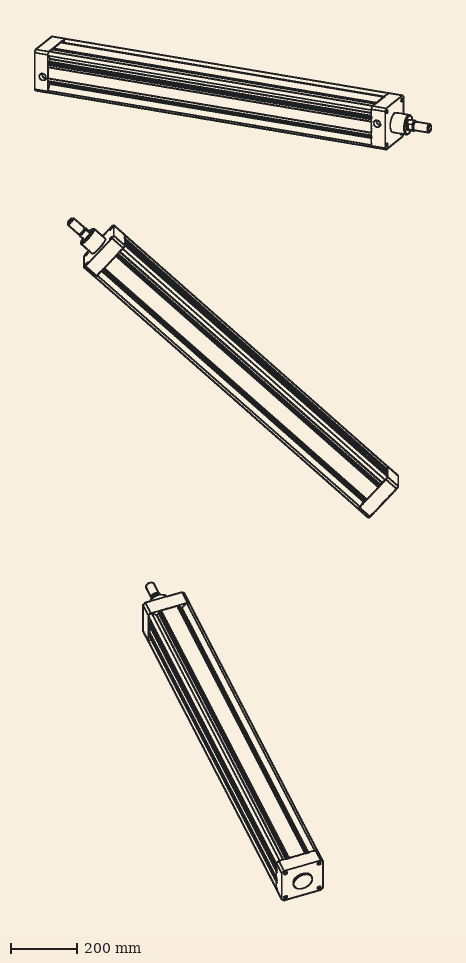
import cadquery as cq

TOTAL_LENGTH = 1285.0
REAR_BOSS_LENGTH = 5.0
REAR_CAP_END = 49.0
FRONT_CAP_START = 1120.0
BARREL_LENGTH = FRONT_CAP_START - REAR_CAP_END
FRONT_CAP_END = 1167.0
COLLAR_END = 1214.0

CAP_SIZE = 134.0
CAP_CHAMFER = 8.0
BOSS_DIAMETER = 60.0
COLLAR_CHAMFER = 3.0
SCREW_HOLE_OFFSET = 54.0
SCREW_HOLE_DIAMETER = 10.0
SCREW_HOLE_DEPTH = 19.0
PORT_DIAMETER = 22.0
PORT_DEPTH = 19.0
PORT_HEIGHT = 15.0
FRONT_PORT_OFFSET = 19.0
REAR_PORT_OFFSET = 17.0

BARREL_HALF = CAP_SIZE / 2
CORNER_RADIUS = 10.0
GROOVE_EDGE = BARREL_HALF - CORNER_RADIUS
GROOVE_FLOOR_EDGE = 41.0
GROOVE_FLOOR_WIDTH = 1.0
GROOVE_FLOOR_HEIGHT = BARREL_HALF - (GROOVE_EDGE - GROOVE_FLOOR_EDGE)
WALL_EDGE = 33.0
WALL_FOOT_HEIGHT = 55.0
LEDGE_EDGE = 30.0
LEDGE_HEIGHT = 64.0
FLAT_EDGE = 26.0
FLAT_HEIGHT = 65.0
BAND_WIDTH = 36.0
BAND_RECESS = 3.0

ROD_DIAMETER = 32.0
ROD_STEP = 1232.0
FLATS_START = 1218.0
WRENCH_WIDTH = 27.0
THREAD_DIAMETER = 27.0
THREAD_START = 1236.0
THREAD_NECK_DIAMETER = 26.0
THREAD_CHAMFER = 4.0


def x_plane(x):
    """Sketch plane at x, facing +X, with local x along +Y and local y along +Z."""
    return cq.Workplane("YZ", origin=(x, 0, 0))


def cylinder(start, end, diameter):
    return x_plane(start).circle(diameter / 2).extrude(end - start)


def cap_block(start, end):
    block = x_plane(start).rect(CAP_SIZE, CAP_SIZE).extrude(end - start)
    return block.edges("|X").chamfer(CAP_CHAMFER)


def port(x, z):
    """Blind air port drilled into the -Y side of a cap."""
    side = cq.Workplane("XZ", origin=(0, -CAP_SIZE / 2, 0))
    return side.center(x, z).circle(PORT_DIAMETER / 2).extrude(-PORT_DEPTH)


def screw_holes(face_x, depth):
    """Four blind corner holes; a negative depth drills toward -X."""
    spacing = 2 * SCREW_HOLE_OFFSET
    holes = x_plane(face_x).rect(spacing, spacing, forConstruction=True).vertices()
    return holes.circle(SCREW_HOLE_DIAMETER / 2).extrude(depth)


def make_rear_cap():
    cap = cap_block(REAR_BOSS_LENGTH, REAR_CAP_END)
    cap = cap.union(cylinder(0, REAR_CAP_END, BOSS_DIAMETER))
    cap = cap.cut(screw_holes(REAR_BOSS_LENGTH, SCREW_HOLE_DEPTH))
    return cap.cut(port(REAR_CAP_END - REAR_PORT_OFFSET, -PORT_HEIGHT))


def make_front_cap():
    collar = cylinder(FRONT_CAP_START, COLLAR_END, BOSS_DIAMETER)
    collar = collar.faces(">X").edges().chamfer(COLLAR_CHAMFER)
    cap = cap_block(FRONT_CAP_START, FRONT_CAP_END).union(collar)
    cap = cap.cut(cylinder(FRONT_CAP_START, COLLAR_END, ROD_DIAMETER))
    cap = cap.cut(screw_holes(FRONT_CAP_END, -SCREW_HOLE_DEPTH))
    return cap.cut(port(FRONT_CAP_START + FRONT_PORT_OFFSET, PORT_HEIGHT))


def side_relief(side_angle):
    """Material removed from one side: a mirrored pair of grooves and the sunken flat between them."""
    half_outline = [
        (BARREL_HALF, GROOVE_EDGE),
        (GROOVE_FLOOR_HEIGHT, GROOVE_FLOOR_EDGE),
        (GROOVE_FLOOR_HEIGHT, GROOVE_FLOOR_EDGE - GROOVE_FLOOR_WIDTH),
        (WALL_FOOT_HEIGHT, WALL_EDGE),
        (LEDGE_HEIGHT, WALL_EDGE),
        (LEDGE_HEIGHT, LEDGE_EDGE),
        (FLAT_HEIGHT, FLAT_EDGE),
        (FLAT_HEIGHT, 0),
        (BARREL_HALF, 0),
    ]
    half = x_plane(REAR_CAP_END).polyline(half_outline).close().extrude(BARREL_LENGTH)
    whole = half.union(half.mirror("XY"))
    return whole.rotate((0, 0, 0), (1, 0, 0), side_angle)


def band_recesses():
    """Shallow recesses along the middle of the flats on the -Y and +Y sides."""
    centers = x_plane(REAR_CAP_END).pushPoints([(-FLAT_HEIGHT, 0), (FLAT_HEIGHT, 0)])
    return centers.rect(2 * BAND_RECESS, BAND_WIDTH).extrude(BARREL_LENGTH)


def make_barrel():
    barrel = x_plane(REAR_CAP_END).rect(CAP_SIZE, CAP_SIZE).extrude(BARREL_LENGTH)
    barrel = barrel.edges("|X").fillet(CORNER_RADIUS)
    for side in range(4):
        barrel = barrel.cut(side_relief(90 * side))
    return barrel.cut(band_recesses())


def make_rod():
    shank = cylinder(FRONT_CAP_START, FLATS_START, ROD_DIAMETER)
    flats_end = cylinder(FLATS_START, ROD_STEP, ROD_DIAMETER)
    flats_slab = x_plane(FLATS_START).rect(WRENCH_WIDTH, ROD_DIAMETER).extrude(ROD_STEP - FLATS_START)
    neck = cylinder(ROD_STEP, THREAD_START, THREAD_NECK_DIAMETER)
    thread = cylinder(THREAD_START, TOTAL_LENGTH, THREAD_DIAMETER)
    thread = thread.faces(">X").edges().chamfer(THREAD_CHAMFER)
    return shank.union(flats_end.intersect(flats_slab)).union(neck).union(thread)


rear_cap = make_rear_cap()
front_cap = make_front_cap()
barrel = make_barrel()
rod = make_rod()

result = cq.Compound.makeCompound([rear_cap.val(), barrel.val(), front_cap.val(), rod.val()])